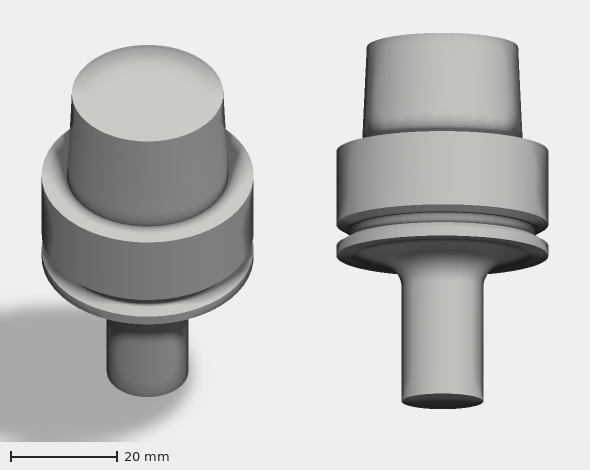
import cadquery as cq
import math

total_height = 67.9
taper_height = 19.95
collar_height = 20.0
collar_top = total_height - taper_height
collar_bottom = collar_top - collar_height

shank_radius = 15.4 / 2
collar_radius = 39.9 / 2
groove_radius = 34.8 / 2
taper_base_radius = 15.2
taper_top_radius = 14.25

rim_height = 1.9
groove_width = 2.05
chamfer_height = 1.0
chamfer_depth = 1.75

cone_radius = 16.4
cone_angle = math.radians(15)
blend_radius = 4.9


def rim_heights():
    """Heights of the groove walls and chamfer edges, from bottom to top."""
    lower_edge = collar_bottom + rim_height
    lower_wall = lower_edge + chamfer_height
    upper_wall = lower_wall + groove_width
    upper_edge = upper_wall + chamfer_height
    return lower_edge, lower_wall, upper_wall, upper_edge


def half_profile():
    """Closed radius-height outline on the right of the rotation axis."""
    lower_edge, lower_wall, upper_wall, upper_edge = rim_heights()
    chamfer_radius = collar_radius - chamfer_depth

    arc_center_r = shank_radius + blend_radius
    arc_end_r = arc_center_r - blend_radius * math.sin(cone_angle)
    arc_end_z = collar_bottom - (cone_radius - arc_end_r) * math.tan(cone_angle)
    shank_top = arc_end_z - blend_radius * math.cos(cone_angle)
    mid_angle = (math.pi / 2 - cone_angle) / 2
    arc_mid = (
        arc_center_r - blend_radius * math.cos(mid_angle),
        shank_top + blend_radius * math.sin(mid_angle),
    )

    return (
        cq.Workplane("XZ")
        .lineTo(shank_radius, 0)
        .lineTo(shank_radius, shank_top)
        .threePointArc(arc_mid, (arc_end_r, arc_end_z))
        .lineTo(cone_radius, collar_bottom)
        .lineTo(collar_radius, collar_bottom)
        .lineTo(collar_radius, lower_edge)
        .lineTo(chamfer_radius, lower_wall)
        .lineTo(groove_radius, lower_wall)
        .lineTo(groove_radius, upper_wall)
        .lineTo(chamfer_radius, upper_wall)
        .lineTo(collar_radius, upper_edge)
        .lineTo(collar_radius, collar_top)
        .lineTo(taper_base_radius, collar_top)
        .lineTo(taper_top_radius, total_height)
        .lineTo(0, total_height)
        .close()
    )


result = half_profile().revolve(360, (0, 0, 0), (0, 1, 0))